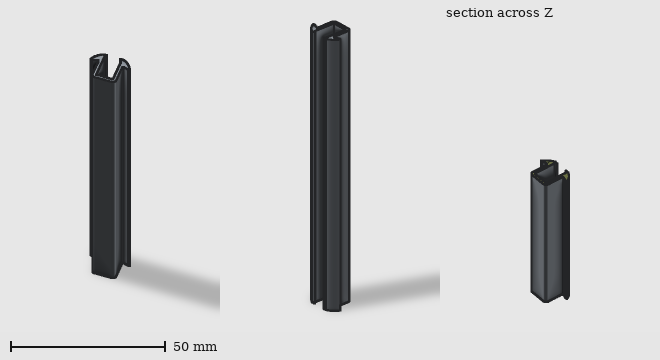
import cadquery as cq

length = 100.0
width = 13.5
depth = 10.0

channel_width = 8.1
wall = 1.2
corner_radius = 1.1

flange_root_y = 7.2
flange_root_radius = 0.3
flange_low_y = 6.6
flange_tip_y = 6.7
flange_low_inset = 0.6
crown_bulge_x = 5.3
crown_bulge_y = 8.8
crown_end_x = 3.4

lip_gap = 4.5
lip_thickness = 0.2
lip_slope_height = 0.7
lip_underside_radius = 1.2

half_width = width / 2
outer_x = channel_width / 2
inner_x = outer_x - wall
lip_x = lip_gap / 2
lip_bottom_y = depth - lip_thickness


def half_profile():
    """Right half of the cross-section, closed along the symmetry plane."""
    return (
        cq.Workplane("XY")
        .moveTo(0, 0)
        .lineTo(outer_x - corner_radius, 0)
        .radiusArc((outer_x, corner_radius), -corner_radius)
        .lineTo(outer_x, flange_root_y - flange_root_radius)
        .radiusArc((outer_x + flange_root_radius, flange_root_y), flange_root_radius)
        .lineTo(half_width - flange_low_inset, flange_low_y)
        .lineTo(half_width, flange_tip_y)
        .threePointArc((crown_bulge_x, crown_bulge_y), (crown_end_x, depth))
        .lineTo(lip_x, depth)
        .lineTo(lip_x, lip_bottom_y)
        .radiusArc((inner_x, lip_bottom_y - lip_slope_height), lip_underside_radius)
        .lineTo(inner_x, wall)
        .lineTo(0, wall)
        .close()
    )


right_half = half_profile().extrude(length)
result = right_half.union(right_half.mirror("YZ")).clean()